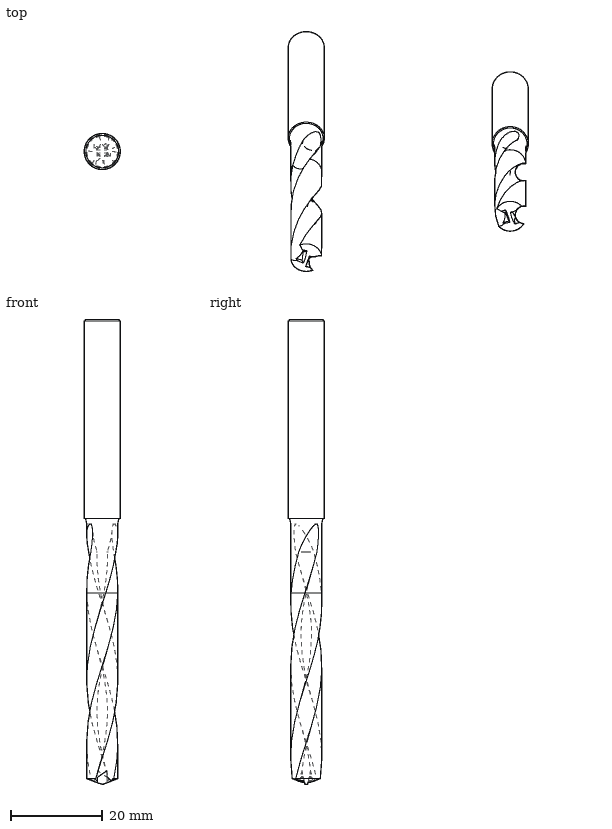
import cadquery as cq
import math

LENGTH = 102.0
POINT_HEIGHT = 1.3
JOINT_Z = 42.0
RUNOUT_START_Z = 51.0
RUNOUT_END_Z = 57.1
SHANK_Z = 58.3

SHANK_RADIUS = 8.0 / 2
BODY_RADIUS = 6.8 / 2
SHANK_TOP_CHAMFER = 0.4
SHANK_BASE_CHAMFER = 0.3
NECK_CONE_HEIGHT = SHANK_Z - RUNOUT_END_Z

FLUTE_COUNT = 2
LEAD = 67.3
FLUTE_FRONT_Z = 32.8
FLUTE_SPAN = 72.0
CORE_RADIUS = 1.1
FLUTE_START_Z = -1.0
RUNOUT_STEPS = 4

GASH_LEFT = -1.0
GASH_LEFT_HEIGHT = 1.6
GASH_PEAK = 1.0
GASH_HEIGHT = 3.1
GASH_SHOULDER_HEIGHT = 1.8
GASH_RIGHT = 1.8
GASH_RIGHT_HEIGHT = 0.9
GASH_WEB = 0.3
GASH_TOP_WEB = 0.9

mouth_x = BODY_RADIUS * math.cos(math.radians(FLUTE_SPAN / 2))
mouth_y = BODY_RADIUS * math.sin(math.radians(FLUTE_SPAN / 2))
mouth_depth = mouth_x - CORE_RADIUS
FLUTE_RADIUS = (mouth_depth**2 + mouth_y**2) / (2 * mouth_depth)
FLUTE_OFFSET = CORE_RADIUS + FLUTE_RADIUS
RUNOUT_RISE = BODY_RADIUS - CORE_RADIUS


def flute_center(z, offset, index):
    """Centre of the groove circle of one flute at height z."""
    angle = math.radians(-90 + 360 * ((z - FLUTE_FRONT_Z) / LEAD + index / FLUTE_COUNT))
    return cq.Vector(offset * math.cos(angle), offset * math.sin(angle), z)


def make_flute(index):
    """Full-depth twisted groove, without its runout."""
    start = flute_center(FLUTE_START_Z, FLUTE_OFFSET, index)
    height = RUNOUT_START_Z - FLUTE_START_Z
    return (
        cq.Workplane("XY", origin=(0, 0, FLUTE_START_Z))
        .moveTo(start.x, start.y)
        .circle(FLUTE_RADIUS)
        .twistExtrude(height, 360 * height / LEAD)
    )


def make_runout(index):
    """Groove end that follows the helix while it rises to the surface."""
    circles = []
    for step in range(RUNOUT_STEPS + 1):
        part = step / RUNOUT_STEPS
        z = RUNOUT_START_Z + part * (RUNOUT_END_Z - RUNOUT_START_Z)
        center = flute_center(z, FLUTE_OFFSET + RUNOUT_RISE * part, index)
        outward = cq.Vector(center.x, center.y, 0)
        section = cq.Workplane(cq.Plane(center, xDir=outward, normal=(0, 0, 1))).circle(FLUTE_RADIUS)
        circles.append(section.val())
    return cq.Workplane(cq.Solid.makeLoft(circles))


def make_gash(index):
    """Peaked notch whose floor leans away from the axis as it rises."""
    outline = [
        (GASH_LEFT, 0),
        (GASH_LEFT, GASH_LEFT_HEIGHT),
        (GASH_PEAK, GASH_HEIGHT),
        (GASH_PEAK, GASH_SHOULDER_HEIGHT),
        (GASH_RIGHT, GASH_RIGHT_HEIGHT),
        (GASH_RIGHT, 0),
    ]
    floor_wedge = [
        (-BODY_RADIUS, 0),
        (-GASH_WEB, 0),
        (-GASH_TOP_WEB, GASH_HEIGHT),
        (-BODY_RADIUS, GASH_HEIGHT),
    ]
    notch = cq.Workplane("XZ").polyline(outline).close().extrude(BODY_RADIUS)
    wedge = cq.Workplane("YZ").polyline(floor_wedge).close().extrude(BODY_RADIUS, both=True)
    return notch.intersect(wedge).rotate((0, 0, 0), (0, 0, 1), 360 * index / FLUTE_COUNT)


def make_cutting_head():
    """Cylinder with a conical drill point."""
    profile = [(0, 0), (BODY_RADIUS, POINT_HEIGHT), (BODY_RADIUS, JOINT_Z), (0, JOINT_Z)]
    head = cq.Workplane("XZ").polyline(profile).close().revolve(360, (0, 0), (0, 1))
    for index in range(FLUTE_COUNT):
        head = head.cut(make_flute(index)).cut(make_gash(index))
    return head


def make_holder():
    """Plain shank and the fluted neck below it."""
    profile = [
        (0, JOINT_Z),
        (BODY_RADIUS, JOINT_Z),
        (BODY_RADIUS, SHANK_Z - NECK_CONE_HEIGHT),
        (SHANK_RADIUS - SHANK_BASE_CHAMFER, SHANK_Z),
        (SHANK_RADIUS, SHANK_Z),
        (SHANK_RADIUS, LENGTH - SHANK_TOP_CHAMFER),
        (SHANK_RADIUS - SHANK_TOP_CHAMFER, LENGTH),
        (0, LENGTH),
    ]
    holder = cq.Workplane("XZ").polyline(profile).close().revolve(360, (0, 0), (0, 1))
    for index in range(FLUTE_COUNT):
        holder = holder.cut(make_flute(index)).cut(make_runout(index))
    return holder


cutting_head = make_cutting_head()
holder = make_holder()
result = cq.Compound.makeCompound([cutting_head.solids().val(), holder.solids().val()])